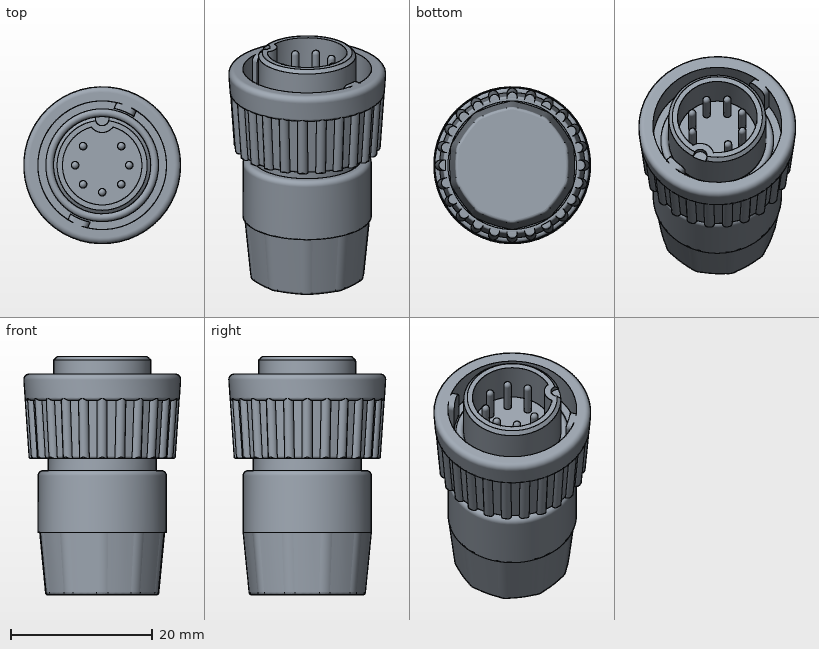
import cadquery as cq
import math

total_height = 33.73
ring_top = total_height - 2.47
ring_bottom = 19.31
rib_top = 27.99
shell_top = 17.6
grip_top = 8.85

shell_radius = 9.085
shell_fillet = 0.75
neck_radius = 7.67

facet_count = 10
facet_radius_bottom = 8.0
ridge_radius_bottom = 8.2
facet_end_radius_bottom = 8.08
facet_half_angle = 12.4
grip_top_scale = 1.107
grip_fillet = 0.4

ring_radius = 11.11
ring_taper = 3.9
ring_top_fillet = 0.8
ring_bottom_fillet = 0.33
rib_count = 24
rib_height = 0.64
rib_radius = 0.72
band_lower_round = 0.5
rib_crest_setback = 0.02
bore_radius = 9.1
bore_depth = 4.95

key_width = 3.0
key_fillet = 0.8
key_inner_radius = 8.22
key_angles = (67.5, 247.5)

insert_radius = 6.87
seal_outer_radius = 7.98
seal_section_radius = (seal_outer_radius - insert_radius) / 2

insert_chamfer = 0.5
cavity_radius = 5.62
cavity_depth = 6.2
key_centre_y = 6.55
notch_radius = 0.96
notch_depth = 0.7
inner_key_radius = 2 * notch_radius

pin_radius = 0.53
pin_circle_radius = 3.82
pin_recess = 1.13
pin_positions = 8
keyway_position = 2

bore_floor = ring_top - bore_depth
cavity_floor = total_height - cavity_depth
taper_slope = math.tan(math.radians(ring_taper))


def disc(radius, bottom, top):
    return cq.Workplane("XY").workplane(offset=bottom).circle(radius).extrude(top - bottom)


def polar(radius, angle):
    return radius * math.cos(math.radians(angle)), radius * math.sin(math.radians(angle))


def ring_outer_radius(z):
    """Outer radius of the tapered ring, widest where the top fillet starts."""
    return ring_radius + taper_slope * (z - (ring_top - ring_top_fillet))


def grip_profile(workplane, scale):
    """Closed outline of facet and ridge arcs; ridges lie on the Y axis, facets on the X axis."""
    pitch = 360 / facet_count
    end_radius = scale * facet_end_radius_bottom
    outline = workplane.moveTo(*polar(end_radius, -facet_half_angle))
    for i in range(facet_count):
        facet_angle = i * pitch
        outline = outline.threePointArc(
            polar(scale * facet_radius_bottom, facet_angle),
            polar(end_radius, facet_angle + facet_half_angle),
        )
        outline = outline.threePointArc(
            polar(scale * ridge_radius_bottom, facet_angle + pitch / 2),
            polar(end_radius, facet_angle + pitch - facet_half_angle),
        )
    return outline.close()


def grip():
    bottom = grip_profile(cq.Workplane("XY"), 1)
    both = grip_profile(bottom.workplane(offset=grip_top), grip_top_scale)
    return both.loft(ruled=True, combine=True).faces("<Z").edges().fillet(grip_fillet)


def shell():
    body = disc(shell_radius, grip_top, shell_top).faces(">Z").edges().fillet(shell_fillet)
    return body.union(disc(neck_radius, shell_top, ring_bottom))


def ring_envelope():
    """Tapered sleeve blank with rounded outer edges."""
    blank = (
        cq.Workplane("XZ")
        .moveTo(0, ring_bottom)
        .lineTo(ring_outer_radius(ring_bottom), ring_bottom)
        .lineTo(ring_outer_radius(ring_top), ring_top)
        .lineTo(0, ring_top)
        .close()
        .revolve(360, (0, 0, 0), (0, 1, 0))
    )
    blank = blank.faces(">Z").edges().fillet(ring_top_fillet)
    return blank.faces("<Z").edges().fillet(ring_bottom_fillet)


def valley_sleeve():
    """Volume cut back between the ribs, below a rounded band edge and above a rounded foot."""
    shoulder = rib_top - band_lower_round
    band_radius = ring_outer_radius(rib_top)
    shoulder_radius = band_radius - band_lower_round
    valley_radius = ring_outer_radius(shoulder) - rib_height
    foot_top = ring_bottom + ring_bottom_fillet
    foot_radius = ring_outer_radius(foot_top) - rib_height
    foot_centre_radius = foot_radius - ring_bottom_fillet
    clear_radius = ring_radius + rib_height
    band_diagonal = band_lower_round * math.sqrt(0.5)
    foot_diagonal = ring_bottom_fillet * math.sqrt(0.5)
    return (
        cq.Workplane("XZ")
        .moveTo(foot_centre_radius, ring_bottom)
        .threePointArc(
            (foot_centre_radius + foot_diagonal, foot_top - foot_diagonal),
            (foot_radius, foot_top),
        )
        .lineTo(valley_radius, shoulder)
        .lineTo(shoulder_radius, shoulder)
        .threePointArc(
            (shoulder_radius + band_diagonal, rib_top - band_diagonal),
            (band_radius, rib_top),
        )
        .lineTo(clear_radius, rib_top)
        .lineTo(clear_radius, ring_bottom)
        .close()
        .revolve(360, (0, 0, 0), (0, 1, 0))
    )


def rib(angle):
    """Round bar leaning with the taper, its crest just inside the outer surface of the ring."""
    length = rib_top - ring_bottom
    lean = math.cos(math.radians(ring_taper))
    foot = ring_outer_radius(ring_bottom) - rib_crest_setback - rib_radius / lean
    bar = cq.Solid.makeCylinder(
        rib_radius, length, cq.Vector(foot, 0, ring_bottom), cq.Vector(taper_slope, 0, 1)
    )
    return cq.Workplane(obj=bar).rotate((0, 0, 0), (0, 0, 1), angle)


def coupling_ring():
    valleys = valley_sleeve()
    for i in range(rib_count):
        valleys = valleys.cut(rib(i * 360 / rib_count))
    return ring_envelope().cut(valleys).cut(disc(bore_radius, bore_floor, ring_top))


def bayonet_key(angle):
    """Bar on the bore wall, flush with the ring top, with both upper side edges rounded."""
    wall_overlap = 0.15
    outer_radius = bore_radius + 2 * wall_overlap
    length = outer_radius - neck_radius
    bar = (
        cq.Workplane("XY")
        .box(length, key_width, bore_depth, centered=(False, True, False))
        .translate((neck_radius, 0, bore_floor))
        .edges("|X and >Z")
        .fillet(key_fillet)
    )
    wall = disc(bore_radius + wall_overlap, bore_floor, ring_top)
    bar = bar.intersect(wall).cut(disc(key_inner_radius, bore_floor, ring_top))
    return bar.rotate((0, 0, 0), (0, 0, 1), angle)


def seal_ring():
    centre_radius = insert_radius + seal_section_radius
    torus = cq.Solid.makeTorus(centre_radius, seal_section_radius, cq.Vector(0, 0, bore_floor))
    return cq.Workplane(obj=torus)


def insert():
    """Open cup with a rounded key inside its wall and a shallow notch in its rim."""
    cup = disc(insert_radius, bore_floor, total_height).faces(">Z").edges().chamfer(insert_chamfer)
    key = disc(inner_key_radius, cavity_floor, total_height).translate((0, key_centre_y, 0))
    cavity = disc(cavity_radius, cavity_floor, total_height).cut(key)
    notch_floor = total_height - notch_depth
    notch = disc(notch_radius, notch_floor, total_height).translate((0, key_centre_y, 0))
    return cup.cut(cavity).cut(notch)


def pin(angle):
    x, y = polar(pin_circle_radius, angle)
    tip_centre = total_height - pin_recess - pin_radius
    stem = disc(pin_radius, cavity_floor, tip_centre)
    tip = cq.Workplane("XY").sphere(pin_radius).translate((0, 0, tip_centre))
    return stem.union(tip).translate((x, y, 0))


result = grip().union(shell()).union(coupling_ring())
for key_angle in key_angles:
    result = result.union(bayonet_key(key_angle))
result = result.union(seal_ring()).union(insert())
for position in range(pin_positions):
    if position != keyway_position:
        result = result.union(pin(position * 360 / pin_positions))